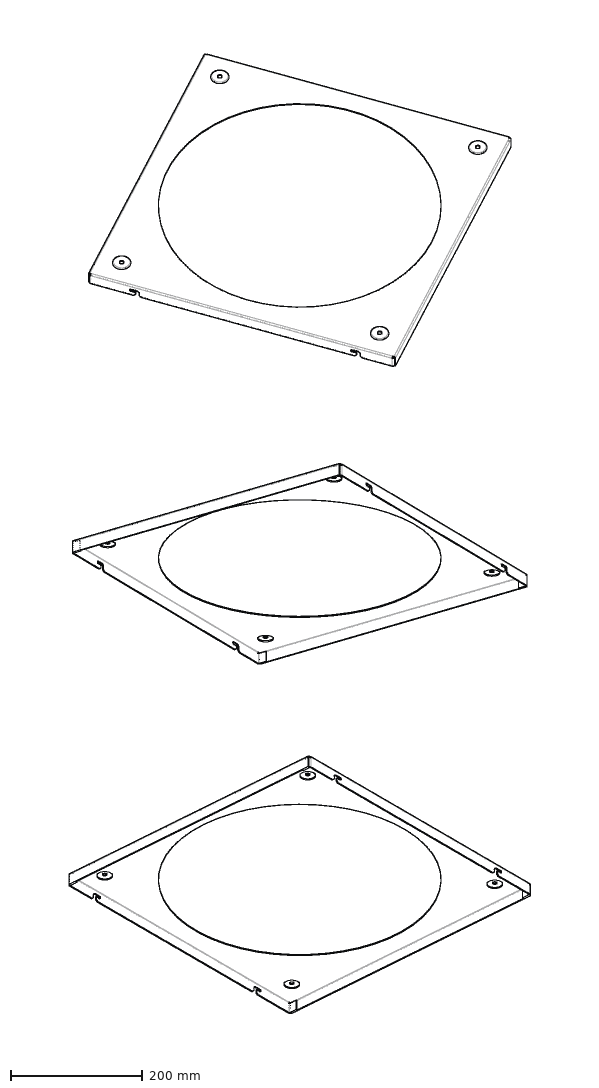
import cadquery as cq

side = 500.0
body_height = 20.0
sheet = 2.0
bend_radius = 2.5

tab_end = 234.5
tab_height = 17.0

opening_diameter = 430.0

pad_offset = 210.0
pad_height = 2.0
pad_diameter = 28.0
pad_rim_radius = 1.5
pad_hole_diameter = 7.0

hook_offset = 180.0
hook_width = 4.0
hook_level = 9.5
hook_entry_width = 6.0
hook_entry_shift = 10.5
hook_elbow_radius = 4.0
hook_mouth_chamfer = 3.0

flat_side = side - 2 * bend_radius
tab_side = side - 2 * sheet


def folded_channel(length):
    """Top plate with a wall bent down along each X side, running along Y."""
    def section(width, height, radius):
        return (
            cq.Workplane("XY")
            .box(width, length, height, centered=(True, True, False))
            .edges("|Y and >Z").fillet(radius)
        )

    inner = section(side - 2 * sheet, body_height - sheet, bend_radius - sheet)
    return section(side, body_height, bend_radius).cut(inner)


def corner_tabs():
    """Front and rear walls with their ends folded round the corners."""
    def block(x_size, y_size, radius):
        return (
            cq.Workplane("XY")
            .box(x_size, y_size, tab_height, centered=(True, True, False))
            .edges("|Z").fillet(radius)
        )

    ring = block(tab_side, side, bend_radius)
    ring = ring.cut(block(tab_side - 2 * sheet, side - 2 * sheet, bend_radius - sheet))
    return ring.cut(cq.Workplane("XY").box(side, 2 * tab_end, 2 * body_height))


def make_pan():
    """Top plate, four walls and corner tabs, with open bend reliefs at the corners."""
    side_walls = folded_channel(flat_side)
    end_walls = folded_channel(tab_side - 2 * bend_radius).rotate((0, 0, 0), (0, 0, 1), 90)
    return side_walls.union(end_walls).union(corner_tabs())


def rounded_disc(diameter, rim_radius, base_level):
    """Disc one pad height tall with a rounded upper rim, standing at base_level."""
    return (
        cq.Workplane("XY", origin=(0, 0, base_level))
        .circle(diameter / 2)
        .extrude(pad_height)
        .faces(">Z").edges().fillet(rim_radius)
    )


def add_pads(pan):
    """Emboss a hollow round pad with a screw hole near each corner."""
    raised = rounded_disc(pad_diameter, pad_rim_radius, body_height)
    hole = cq.Workplane("XY").circle(pad_hole_diameter / 2).extrude(2 * body_height)
    hollow = (
        cq.Workplane("XY", origin=(0, 0, body_height - sheet))
        .circle(pad_diameter / 2 - sheet)
        .extrude(pad_height)
    )
    for x in (-pad_offset, pad_offset):
        for y in (-pad_offset, pad_offset):
            place = (x, y, 0)
            pan = pan.union(raised.translate(place))
            pan = pan.cut(hollow.translate(place)).cut(hole.translate(place))
    return pan


def hook_slot(seat_x):
    """Slot rising from the bottom edge and turning toward -X to a round seat."""
    entry_x = seat_x + hook_entry_shift
    left = entry_x - hook_entry_width / 2
    right = entry_x + hook_entry_width / 2
    top = hook_level + hook_width / 2
    bottom = hook_level - hook_width / 2
    return (
        cq.Workplane("XZ", origin=(0, side, 0))
        .moveTo(right + hook_mouth_chamfer, 0)
        .lineTo(right, hook_mouth_chamfer)
        .lineTo(right, top - hook_elbow_radius)
        .radiusArc((right - hook_elbow_radius, top), -hook_elbow_radius)
        .lineTo(seat_x, top)
        .threePointArc((seat_x - hook_width / 2, hook_level), (seat_x, bottom))
        .lineTo(left, bottom)
        .lineTo(left, hook_mouth_chamfer)
        .lineTo(left - hook_mouth_chamfer, 0)
        .close()
        .extrude(2 * side)
    )


result = make_pan()
result = result.cut(cq.Workplane("XY").circle(opening_diameter / 2).extrude(body_height))
result = add_pads(result)
for hook_x in (-hook_offset, hook_offset):
    result = result.cut(hook_slot(hook_x))